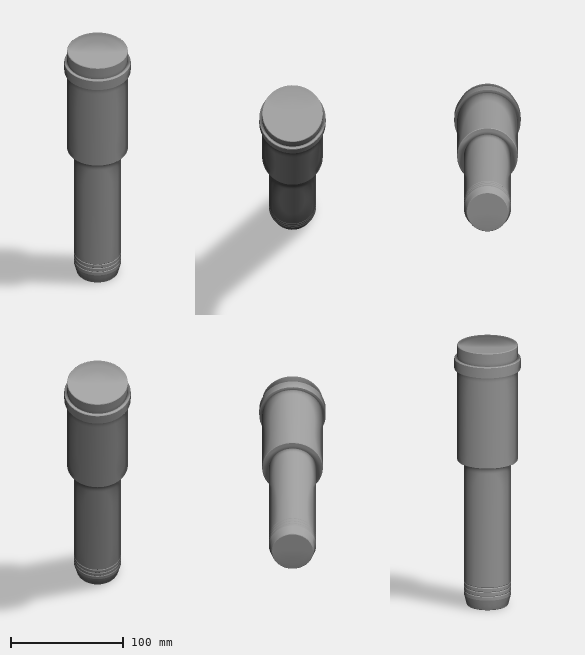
import cadquery as cq

total_height = 243.0
flange_diameter = 59.0
body_diameter = 54.0
shank_diameter = 42.0
tip_diameter = 37.2

shank_length = 135.0
head_height = 12.2
flange_thickness = 10.0
taper_height = 10.0

flange_chamfer = 0.5
body_chamfer = 0.5
tip_chamfer = 0.5

relief_width = 0.7
relief_depth = 0.2

groove_count = 3
groove_span = 8.0
groove_width = 1.2
groove_depth = 0.5
lowest_groove_height = 13.5

flange_top = total_height - head_height
flange_bottom = flange_top - flange_thickness
groove_pitch = groove_span / (groove_count - 1)


def revolve_profile(points):
    """Turn a closed (radius, height) outline about the Z axis."""
    return cq.Workplane("XZ").polyline(points).close().revolve(360, (0, 0, 0), (0, 1, 0))


def cylinder(diameter, bottom, top):
    """Solid cylinder on the Z axis between two heights."""
    return cq.Workplane("XY").workplane(offset=bottom).circle(diameter / 2).extrude(top - bottom)


def make_shank():
    """Long pin with a tapered lead-in and a small bevel at its tip."""
    tip_radius = tip_diameter / 2
    shank_radius = shank_diameter / 2
    return revolve_profile(
        [
            (0, 0),
            (tip_radius - tip_chamfer, 0),
            (tip_radius, tip_chamfer),
            (shank_radius, taper_height),
            (shank_radius, shank_length),
            (0, shank_length),
        ]
    )


def make_relief(diameter, bottom):
    """Ring that removes a shallow band from a section of the given diameter."""
    top = bottom + relief_width
    core = cylinder(diameter - 2 * relief_depth, bottom, top)
    return cylinder(diameter, bottom, top).cut(core)


def make_groove(center_height):
    """Triangular ring that cuts one V groove into the shank."""
    shank_radius = shank_diameter / 2
    return revolve_profile(
        [
            (shank_radius, center_height - groove_width / 2),
            (shank_radius - groove_depth, center_height),
            (shank_radius, center_height + groove_width / 2),
        ]
    )


shank = make_shank().cut(make_relief(shank_diameter, shank_length - relief_width))
for index in range(groove_count):
    shank = shank.cut(make_groove(lowest_groove_height + index * groove_pitch))

body = cylinder(body_diameter, shank_length, total_height).faces("<Z or >Z").chamfer(body_chamfer)
body = body.cut(make_relief(body_diameter, flange_top))
body = body.cut(make_relief(body_diameter, flange_bottom - relief_width))

flange = cylinder(flange_diameter, flange_bottom, flange_top).faces(">Z").chamfer(flange_chamfer)

result = shank.union(body).union(flange)